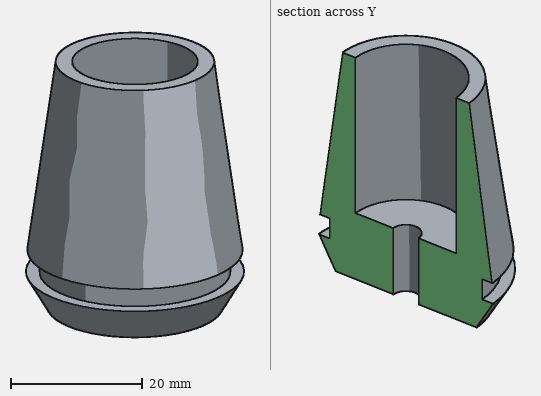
import cadquery as cq
import math

total_height = 40.0
rim_height = 5.55
groove_width = 3.55
body_base_height = rim_height + groove_width

rim_diameter = 33.35
groove_diameter = 29.2
top_diameter = 24.25
body_angle = 8.0
nose_angle = 30.0

bore_diameter = 19.2
bore_depth = 28.0
through_hole_diameter = 4.8

rim_radius = rim_diameter / 2
groove_radius = groove_diameter / 2
top_radius = top_diameter / 2
nose_radius = rim_radius - rim_height * math.tan(math.radians(nose_angle))
body_height = total_height - body_base_height
body_base_radius = top_radius + body_height * math.tan(math.radians(body_angle))


def revolved_body():
    """Tapered collet body with a groove above the flared nose."""
    half_section = [
        (0, 0),
        (nose_radius, 0),
        (rim_radius, rim_height),
        (groove_radius, rim_height),
        (groove_radius, body_base_height),
        (body_base_radius, body_base_height),
        (top_radius, total_height),
        (0, total_height),
    ]
    return cq.Workplane("XZ").polyline(half_section).close().revolve(360, (0, 0, 0), (0, 1, 0))


def cut_stepped_bore(body):
    """Wide blind bore from the top, with a narrow hole through its floor."""
    return body.faces(">Z").workplane().cboreHole(through_hole_diameter, bore_diameter, bore_depth)


result = cut_stepped_bore(revolved_body())